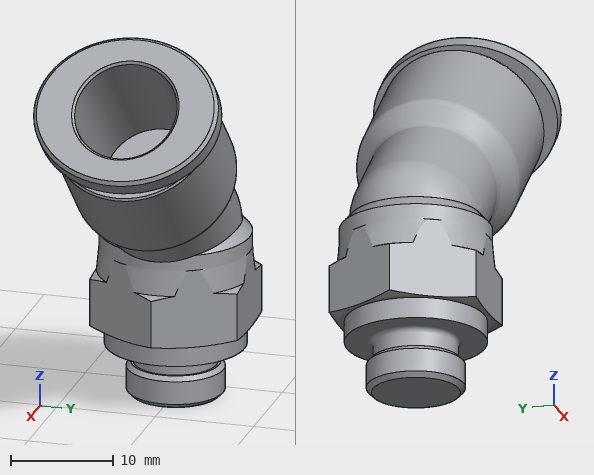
import cadquery as cq

thread_radius = 4.85
thread_bottom_chamfer = 0.5
thread_top_chamfer = 0.45
thread_height = 3.3
neck_radius = 4.17
neck_fillet = 0.5
seat_bottom_z = 5.25
seat_radius = 7.0

hex_across_flats = 15.0
hex_bottom_z = 7.35
hex_top_z = 12.8
hex_corner_drop = 0.32
hex_flat_radius = hex_across_flats / 2
hex_corner_radius = hex_flat_radius * 2 / 3 ** 0.5

skirt_bottom_radius = 7.75
skirt_top_z = 15.35
shoulder_start_z = 16.9
base_top_z = 18.0

elbow_z = 17.9
branch_tilt = 45.0
tube_radius = 6.5
tube_length = 8.05
socket_radius = 8.15
socket_start = 10.0
socket_end = 21.65
socket_edge_chamfer = 0.2
taper_fillet = 1.0

collar_radius = 5.85
button_start = 22.9
button_thickness = 2.05
button_half_width = 9.25
button_half_height = 8.0
button_chamfer = 0.35
button_end = button_start + button_thickness

bore_radius = 5.1
bore_chamfer = 0.25
bore_bottom = socket_start


def revolve_about_z(outline):
    """Solid of revolution from (radius, height) points."""
    return cq.Workplane("XZ").polyline(outline).close().revolve(360, (0, 0), (0, 1))


def fillet_ring(body, ring_radius, ring_z, fillet_radius):
    """Fillet the circular edge of the given radius and height around Z."""
    margin = 0.01
    reach = ring_radius + margin
    ring_box = cq.selectors.BoxSelector(
        (-reach, -reach, ring_z - margin), (reach, reach, ring_z + margin), boundingbox=True
    )
    return body.edges(ring_box).fillet(fillet_radius)


def make_base():
    outline = [
        (0, 0),
        (thread_radius - thread_bottom_chamfer, 0),
        (thread_radius, thread_bottom_chamfer),
        (thread_radius, thread_height - thread_top_chamfer),
        (thread_radius - thread_top_chamfer, thread_height),
        (neck_radius, thread_height),
        (neck_radius, seat_bottom_z),
        (seat_radius, seat_bottom_z),
        (seat_radius, hex_bottom_z),
        (hex_flat_radius, hex_bottom_z),
        (hex_corner_radius, hex_bottom_z + hex_corner_drop),
        (hex_corner_radius, hex_top_z - hex_corner_drop),
        (skirt_bottom_radius, hex_top_z),
        (hex_flat_radius, skirt_top_z),
        (hex_flat_radius, shoulder_start_z),
        (tube_radius, base_top_z),
        (0, base_top_z),
    ]
    hexagon = cq.Workplane("XY").polygon(6, 2 * hex_corner_radius).extrude(base_top_z)
    base = fillet_ring(revolve_about_z(outline), neck_radius, seat_bottom_z, neck_fillet)
    return base.intersect(hexagon)


def make_branch_body():
    outline = [
        (0, 0),
        (tube_radius, 0),
        (tube_radius, tube_length),
        (socket_radius, socket_start),
        (socket_radius, socket_end - socket_edge_chamfer),
        (socket_radius - socket_edge_chamfer, socket_end),
        (collar_radius, socket_end),
        (collar_radius, button_start),
        (0, button_start),
    ]
    body = revolve_about_z(outline)
    body = fillet_ring(body, tube_radius, tube_length, taper_fillet)
    return fillet_ring(body, socket_radius, socket_start, taper_fillet)


def make_button():
    return (
        cq.Workplane("XY", origin=(0, 0, button_start))
        .ellipse(button_half_height, button_half_width)
        .extrude(button_thickness)
        .faces(">Z")
        .chamfer(button_chamfer)
    )


def make_bore():
    outline = [
        (0, bore_bottom),
        (bore_radius, bore_bottom),
        (bore_radius, button_end - bore_chamfer),
        (bore_radius + bore_chamfer, button_end),
        (0, button_end),
    ]
    return revolve_about_z(outline)


def tilt_branch(branch):
    return branch.rotate((0, 0, 0), (0, 1, 0), branch_tilt).translate((0, 0, elbow_z))


branch = make_branch_body().union(make_button())
elbow_ball = cq.Workplane("XY", origin=(0, 0, elbow_z)).sphere(tube_radius)

result = make_base().union(elbow_ball).union(tilt_branch(branch)).cut(tilt_branch(make_bore()))